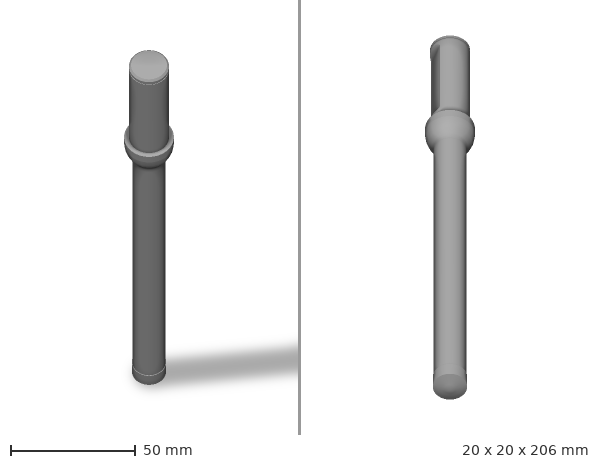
import cadquery as cq
import math

total_length = 206.0
shaft_diameter = 13.2
tip_diameter = 13.8
shank_diameter = 16.0
collar_diameter = 20.0

tip_cone_height = 2.0
tip_top = 8.0
neck_bottom = 145.0
neck_top = 146.9
collar_bottom = 154.3
collar_top = 158.0

groove_bottom = 203.3
groove_top = 204.0
groove_depth = 0.2
end_chamfer_width = 0.8
end_chamfer_height = 0.8
flat_depth = 1.9
flat_bottom = 162.1
flat_top = 202.0
flat_end_radius = 1.75

shaft_radius = shaft_diameter / 2
shank_radius = shank_diameter / 2
groove_radius = shank_radius - groove_depth
collar_radius = collar_diameter / 2
neck_radius = 7.2


def arc_midpoint(start_radius, start_height, end_radius, end_height):
    """Middle of a profile arc that leaves its start point parallel to the axis."""
    radial_offset = end_radius - start_radius
    axial_offset = end_height - start_height
    arc_radius = (radial_offset ** 2 + axial_offset ** 2) / (2 * abs(radial_offset))
    half_angle = math.asin(abs(axial_offset) / arc_radius) / 2
    radial_step = math.copysign(arc_radius * (1 - math.cos(half_angle)), radial_offset)
    axial_step = math.copysign(arc_radius * math.sin(half_angle), axial_offset)
    return (start_radius + radial_step, start_height + axial_step)


def make_tip():
    """Disc with a shallow conical point."""
    profile = (
        cq.Workplane("XZ")
        .lineTo(tip_diameter / 2, tip_cone_height)
        .lineTo(tip_diameter / 2, tip_top)
        .lineTo(0, tip_top)
        .close()
    )
    return profile.revolve(360, (0, 0, 0), (0, 1, 0))


def make_flat_cutter():
    """Cutter for the flat on the +Y side, with rounded inner corners at both ends."""
    cutter_depth = 2 * flat_depth
    cutter = cq.Workplane("XY").box(
        shank_diameter, cutter_depth, flat_top - flat_bottom, centered=(True, False, False)
    )
    cutter = cutter.edges("<Y and |X").fillet(flat_end_radius)
    return cutter.translate((0, shank_radius - flat_depth, flat_bottom))


def make_rod():
    """Turned shaft, collar and grooved shank, with a flat cut into the shank."""
    neck_middle = arc_midpoint(shaft_radius, neck_bottom, neck_radius, neck_top)
    shoulder_middle = arc_midpoint(collar_radius, collar_bottom, neck_radius, neck_top)
    profile = (
        cq.Workplane("XZ")
        .moveTo(0, tip_top)
        .lineTo(shaft_radius, tip_top)
        .lineTo(shaft_radius, neck_bottom)
        .threePointArc(neck_middle, (neck_radius, neck_top))
        .threePointArc(shoulder_middle, (collar_radius, collar_bottom))
        .lineTo(collar_radius, collar_top)
        .lineTo(shank_radius, collar_top)
        .lineTo(shank_radius, groove_bottom)
        .lineTo(groove_radius, groove_bottom)
        .lineTo(groove_radius, groove_top)
        .lineTo(shank_radius, groove_top)
        .lineTo(shank_radius, total_length - end_chamfer_height)
        .lineTo(shank_radius - end_chamfer_width, total_length)
        .lineTo(0, total_length)
        .close()
    )
    rod = profile.revolve(360, (0, 0, 0), (0, 1, 0))
    return rod.cut(make_flat_cutter())


tip = make_tip()
rod = make_rod()
result = cq.Compound.makeCompound([tip.val(), rod.val()])